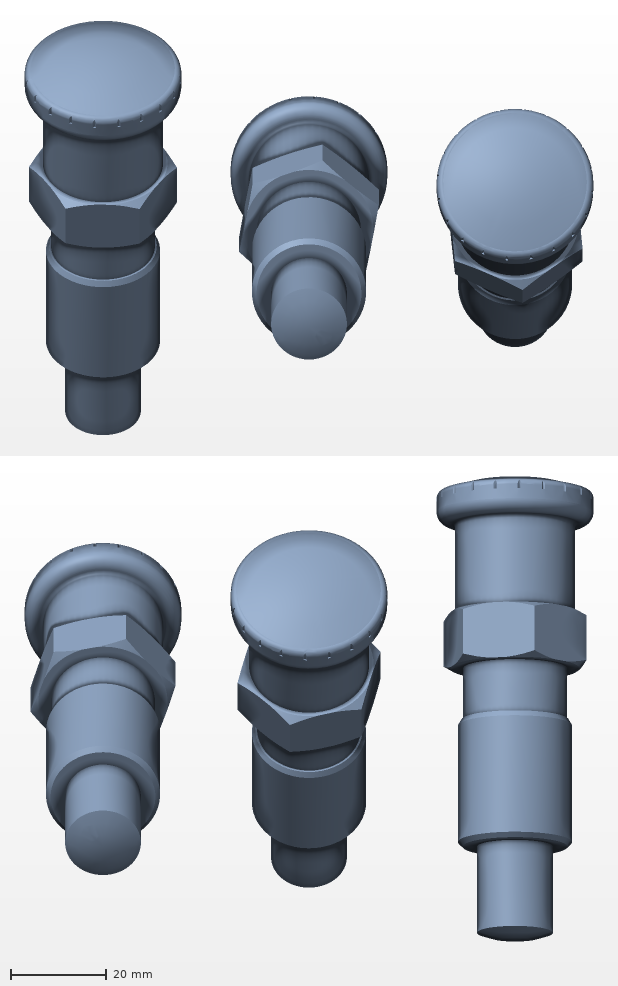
import cadquery as cq
import math

total_height = 98.4
pin_edge_z = 1.6
housing_bottom_z = 20.0
thread_top_z = 47.05
hex_bottom_z = 58.1
hex_top_z = 69.9
rim_bottom_z = 88.9
shoulder_z = 95.9

pin_radius = 8.0
thread_radius = 12.0
neck_radius = 10.9
sleeve_radius = 25.3 / 2
rim_radius = 33.0 / 2

hex_across_flats = 27.0
hex_face_radius = 13.6
hex_chamfer_angle = 30.0

thread_bottom_chamfer = 1.0
thread_top_chamfer_height = 1.2
thread_top_chamfer_width = 0.7
rim_top_fillet = 1.4
rim_bottom_fillet = 2.6
sleeve_root_fillet = 0.8

notch_count = 20
notch_angle = 90.0
notch_depth = 0.4
notch_bottom_z = 93.6


def dome_radius(base_radius, rise):
    """Radius of the sphere whose cap has the given base radius and rise."""
    return (base_radius**2 + rise**2) / (2 * rise)


def disc(radius, bottom_z, top_z):
    """Cylinder on the Z axis between two heights."""
    return cq.Workplane("XY", origin=(0, 0, bottom_z)).circle(radius).extrude(top_z - bottom_z)


def make_pin_end():
    """Cylinder along +Z with a domed lower end."""
    sphere_radius = dome_radius(pin_radius, pin_edge_z)
    sphere = cq.Workplane("XY", origin=(0, 0, sphere_radius)).sphere(sphere_radius)
    return disc(pin_radius, 0, housing_bottom_z).intersect(sphere)


def make_hexagon():
    """Hexagon with flats facing +Y and -Y and its corners turned off conically at both ends."""
    corner_radius = hex_across_flats / math.sqrt(3)
    cone_height = (corner_radius - hex_face_radius) * math.tan(math.radians(hex_chamfer_angle))
    turned_blank = (
        cq.Workplane("XZ")
        .moveTo(0, hex_bottom_z)
        .lineTo(hex_face_radius, hex_bottom_z)
        .lineTo(corner_radius, hex_bottom_z + cone_height)
        .lineTo(corner_radius, hex_top_z - cone_height)
        .lineTo(hex_face_radius, hex_top_z)
        .lineTo(0, hex_top_z)
        .close()
        .revolve(360, (0, 0, 0), (0, 1, 0))
    )
    prism = (
        cq.Workplane("XY", origin=(0, 0, hex_bottom_z))
        .polygon(6, 2 * corner_radius)
        .extrude(hex_top_z - hex_bottom_z)
    )
    return prism.intersect(turned_blank)


def make_housing():
    """Pin end, thread section, neck and hexagon as one solid."""
    thread = disc(thread_radius, housing_bottom_z, thread_top_z)
    thread = thread.faces("<Z").edges().chamfer(thread_bottom_chamfer)
    thread = thread.faces(">Z").edges().chamfer(thread_top_chamfer_height, thread_top_chamfer_width)
    neck = disc(neck_radius, thread_top_z, hex_bottom_z)
    return make_pin_end().union(thread).union(neck).union(make_hexagon())


def make_notch_cutters():
    """Vertical V-shaped prisms, one for each grip notch, with the point of the V toward the axis."""
    apex_radius = rim_radius - notch_depth
    outer_radius = rim_radius + notch_depth
    half_width = (outer_radius - apex_radius) * math.tan(math.radians(notch_angle / 2))
    prism = (
        cq.Workplane("XY", origin=(0, 0, notch_bottom_z))
        .moveTo(apex_radius, 0)
        .lineTo(outer_radius, half_width)
        .lineTo(outer_radius, -half_width)
        .close()
        .extrude(total_height - notch_bottom_z)
    )
    cutters = cq.Workplane("XY")
    for index in range(notch_count):
        turned_prism = prism.rotate((0, 0, 0), (0, 0, 1), index * 360 / notch_count)
        cutters = cutters.add(turned_prism)
    return cutters.combine()


def make_knob():
    """Domed knob with its grip sleeve, standing on the hexagon, turned from one half profile."""
    dome_base_radius = rim_radius - rim_top_fillet
    sphere_radius = dome_radius(dome_base_radius, total_height - shoulder_z)
    blank = (
        cq.Workplane("XZ")
        .moveTo(0, hex_top_z)
        .lineTo(sleeve_radius, hex_top_z)
        .lineTo(sleeve_radius, rim_bottom_z - sleeve_root_fillet)
        .radiusArc((sleeve_radius + sleeve_root_fillet, rim_bottom_z), sleeve_root_fillet)
        .lineTo(rim_radius - rim_bottom_fillet, rim_bottom_z)
        .radiusArc((rim_radius, rim_bottom_z + rim_bottom_fillet), -rim_bottom_fillet)
        .lineTo(rim_radius, shoulder_z - rim_top_fillet)
        .radiusArc((dome_base_radius, shoulder_z), -rim_top_fillet)
        .radiusArc((0, total_height), -sphere_radius)
        .close()
        .revolve(360, (0, 0, 0), (0, 1, 0))
    )
    return blank.cut(make_notch_cutters())


housing = make_housing()
knob = make_knob()

result = cq.Compound.makeCompound([housing.val(), knob.val()])